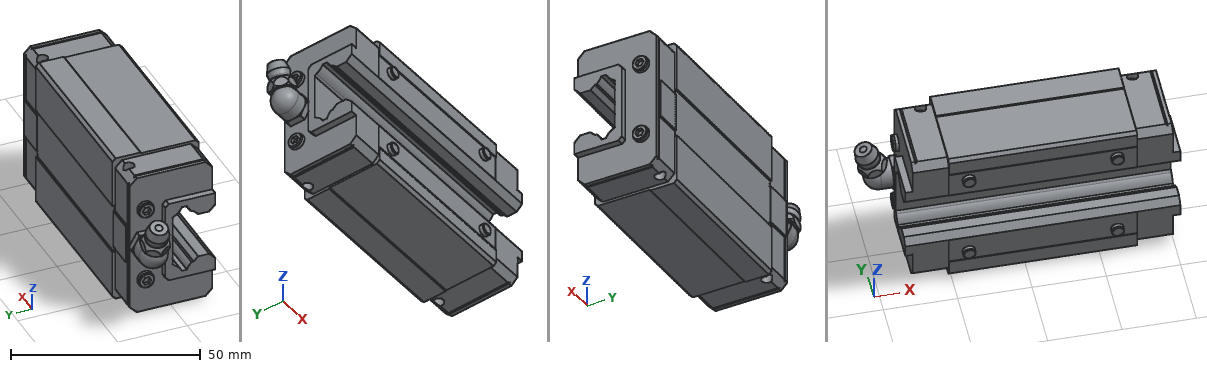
import cadquery as cq
import math


block_length = 50.7
cap_span = 70.05
seal_span = 74.1

block_width = 44.0
block_front = -24.8
block_chamfer = 0.9
side_step_depth = 0.25
side_step_start = -8.0
back_relief_width = 14.55
back_relief_depth = 0.5
front_recess_width = 32.8
front_recess_face = -24.6

cap_width = 42.0
cap_back = -0.75
cap_front = -24.5
cap_chamfer = 2.0
pad_width = 11.2
pad_back = -0.25
groove_inset = 1.1
groove_width = 0.5
groove_depth = 0.3
side_hole_dia = 3.0
side_hole_depth = 2.5
side_hole_x = 28.5
side_hole_y = -3.35

seal_back = -10.1
seal_width = 23.9
seal_chamfer = 1.0

opening_floor = -12.2
throat_half_width = 6.6
lip_chamfer = 1.8
opening_floor_half_width = 7.3
inner_flank_start = (-12.8, 7.8)
inner_flank_middle = (-14.0, 8.6)
crest_half_width = 9.95
crest_start = -14.9
crest_end = -16.3
outer_flank_middle = (-16.9, 8.8)
outer_flank_end = (-17.6, 7.95)
lip_back_start = (-18.2, 7.9)
lip_back_end = -19.6

button_dia = 3.4
button_top_dia = 3.0
button_height = 1.4
button_bevel = 0.3
button_x = 20.0
button_z = 13.5
screw_dia = 4.5
screw_top_dia = 4.1
screw_height = 1.4
screw_bevel = 0.5
screw_y = -5.1
screw_z = 10.95
socket_flats = 2.1
socket_depth = 1.0

nipple_y = screw_y
elbow_dia = 8.0
elbow_x = -40.3
base_hex_flats = 8.0
base_hex_length = 1.9
base_hex_bevel = 0.3
head_tilt = 21.2
head_hex_flats = 7.0
head_hex_bottom = 3.0
head_hex_top = 6.2
head_hex_top_dia = 6.0
head_hex_crown = (3.7, 5.3)
head_hex_rim_dia = 8.1
head_hex_bevel = 0.7
head_hex_shoulder = 3.85
neck_dia = 5.8
neck_top = 6.85
head_underside = (3.0, 7.7)
head_dia = 6.4
head_widest = 8.4
tip_dia = 4.9
tip_top = 11.0
ball_dia = 2.0
ball_rise = 0.25

hex_corner_ratio = 2 / math.sqrt(3)


def beveled_disc(base_dia, top_dia, height, bevel, base, direction):
    """A short cylinder that narrows over its last stretch."""
    base = cq.Vector(*base)
    direction = cq.Vector(*direction)
    straight = height - bevel
    body = cq.Solid.makeCylinder(base_dia / 2, straight, base, direction)
    rim = cq.Solid.makeCone(base_dia / 2, top_dia / 2, bevel, base + direction * straight, direction)
    return cq.Workplane(body.fuse(rim))


def along_x(outline, length):
    """Extrude a YZ outline to both sides of X = 0."""
    return outline.extrude(length / 2, both=True)


def mirrored_outline(points):
    """Close a chain of (Y, Z) points with its mirror image in Z = 0."""
    mirrored = [(y, -z) for y, z in reversed(points)]
    return cq.Workplane("YZ").polyline(points + mirrored).close()


def make_block():
    half = block_width / 2
    stepped_half = half - side_step_depth
    recess_half = front_recess_width / 2
    relief_half = back_relief_width / 2
    outline = mirrored_outline([
        (-back_relief_depth, relief_half),
        (0, relief_half),
        (0, half - block_chamfer),
        (-block_chamfer, half),
        (side_step_start, half),
        (side_step_start - side_step_depth, stepped_half),
        (block_front + block_chamfer, stepped_half),
        (block_front, stepped_half - block_chamfer),
        (block_front, recess_half),
        (front_recess_face, recess_half),
    ])
    return along_x(outline, block_length)


def make_cap_bar():
    """Both end caps as one bar running through the block."""
    half = cap_width / 2
    outline = mirrored_outline([
        (cap_back, half - cap_chamfer),
        (cap_back - cap_chamfer, half),
        (cap_front + cap_chamfer, half),
        (cap_front, half - cap_chamfer),
    ])
    bar = along_x(outline, cap_span)
    pad_span = cap_span - 2 * (groove_inset + groove_width)
    pad_bottom = cap_back - groove_depth
    pad_length = (pad_span - block_length) / 2
    pad = cq.Workplane("XY").box(pad_length, pad_back - pad_bottom, pad_width)
    for end in (-1, 1):
        pad_x = end * (pad_span + block_length) / 4
        bar = bar.cut(make_cap_groove(end))
        bar = bar.union(pad.translate((pad_x, (pad_back + pad_bottom) / 2, 0)))
    return bar


def make_cap_groove(end):
    """V-grooves in the sides and the back of one cap, steep on the end side."""
    outer_x = end * (cap_span / 2 - groove_inset)
    inner_x = outer_x - end * groove_width
    half = cap_width / 2
    back_outline = [(outer_x, cap_back), (outer_x, cap_back - groove_depth), (inner_x, cap_back)]
    grooves = cq.Workplane("XY").polyline(back_outline).close().extrude(half, both=True)
    for side in (-1, 1):
        face = side * half
        side_outline = [(outer_x, face), (outer_x, face - side * groove_depth), (inner_x, face)]
        grooves = grooves.union(cq.Workplane("XZ").polyline(side_outline).close().extrude(-cap_front))
    return grooves


def make_seal_bar():
    """Both end seals as one bar with chamfered back corners."""
    depth = seal_back - cap_front
    bar = cq.Workplane("XY").box(seal_span, depth, seal_width)
    bar = bar.edges("|X and >Y").chamfer(seal_chamfer)
    return bar.translate((0, seal_back - depth / 2, 0))


def make_rail_opening():
    """Rail clearance with a ball groove on each side."""
    lip_start = cap_front + lip_chamfer
    lip_end_z = throat_half_width + lip_chamfer
    outline = (
        cq.Workplane("YZ")
        .moveTo(opening_floor, 0)
        .lineTo(opening_floor, opening_floor_half_width)
        .lineTo(*inner_flank_start)
        .threePointArc(inner_flank_middle, (crest_start, crest_half_width))
        .lineTo(crest_end, crest_half_width)
        .threePointArc(outer_flank_middle, outer_flank_end)
        .lineTo(*lip_back_start)
        .lineTo(lip_back_end, throat_half_width)
        .lineTo(lip_start, throat_half_width)
        .lineTo(cap_front, lip_end_z)
        .lineTo(block_front, lip_end_z)
        .lineTo(block_front, 0)
        .close()
    )
    half = along_x(outline, seal_span)
    return half.union(half.mirror("XY"))


def make_button(x, z):
    """Round button on the front face of the block."""
    base = (x, front_recess_face, z)
    return beveled_disc(button_dia, button_top_dia, button_height, button_bevel, base, (0, -1, 0))


def make_screw_head(end, z):
    """Hex-socket screw head on the end face of a cap."""
    base = (end * cap_span / 2, screw_y, z)
    return beveled_disc(screw_dia, screw_top_dia, screw_height, screw_bevel, base, (end, 0, 0))


def make_screw_socket(end, z):
    face_x = end * (cap_span / 2 + screw_height)
    socket = cq.Workplane("YZ").polygon(6, socket_flats * hex_corner_ratio).extrude(-end * socket_depth)
    return socket.translate((face_x, screw_y, z))


def make_side_hole(x, side):
    """Blind hole in the side of a cap."""
    face = cq.Vector(x, side_hole_y, side * cap_width / 2)
    hole = cq.Solid.makeCylinder(side_hole_dia / 2, side_hole_depth, face, cq.Vector(0, 0, -side))
    return cq.Workplane(hole)


def make_carriage():
    block_gap = cq.Workplane("XY").box(block_length, 2 * block_width, 2 * block_width)
    body = make_block().union(make_cap_bar().cut(block_gap))
    body = body.union(make_seal_bar()).cut(make_rail_opening())
    for end in (-1, 1):
        for side in (-1, 1):
            body = body.union(make_button(end * button_x, side * button_z))
            body = body.union(make_screw_head(end, side * screw_z))
            body = body.cut(make_screw_socket(end, side * screw_z))
            body = body.cut(make_side_hole(end * side_hole_x, side))
    return body


def make_nipple_base():
    """Hexagon, round shank and ball elbow along -X, ending at the elbow."""
    cap_face = -cap_span / 2
    corner_dia = base_hex_flats * hex_corner_ratio
    bevel_dia = corner_dia - 2 * base_hex_bevel
    hexagon = cq.Workplane("YZ").polygon(6, corner_dia).extrude(-base_hex_length)
    envelope = beveled_disc(corner_dia, bevel_dia, base_hex_length, base_hex_bevel, (0, 0, 0), (-1, 0, 0))
    hexagon = hexagon.intersect(envelope).translate((cap_face, 0, 0))
    elbow_radius = elbow_dia / 2
    shank_and_ball = (
        cq.Workplane("XY")
        .moveTo(cap_face, 0)
        .lineTo(cap_face, elbow_radius)
        .lineTo(elbow_x, elbow_radius)
        .radiusArc((elbow_x - elbow_radius, 0), -elbow_radius)
        .close()
        .revolve(360, (0, 0, 0), (1, 0, 0))
    )
    return hexagon.union(shank_and_ball).translate((0, nipple_y, 0))


def make_head_hexagon():
    """Upright hexagon with a bevelled bottom and a rounded crown."""
    flat_radius = head_hex_flats / 2
    rim_radius = head_hex_rim_dia / 2
    envelope = (
        cq.Workplane("XZ")
        .moveTo(0, head_hex_bottom)
        .lineTo(flat_radius, head_hex_bottom)
        .lineTo(rim_radius, head_hex_bottom + head_hex_bevel)
        .lineTo(rim_radius, head_hex_shoulder)
        .threePointArc(head_hex_crown, (head_hex_top_dia / 2, head_hex_top))
        .lineTo(0, head_hex_top)
        .close()
        .revolve(360, (0, 0, 0), (0, 1, 0))
    )
    prism = cq.Workplane("XY", origin=(0, 0, head_hex_bottom)).polygon(6, head_hex_flats * hex_corner_ratio)
    return prism.extrude(head_hex_top - head_hex_bottom).intersect(envelope)


def make_coupling():
    """Upright turned coupling with a neck, a tapered head and a slightly raised ball in the tip."""
    neck_radius = neck_dia / 2
    ball_radius = ball_dia / 2
    dome_radius = (ball_radius**2 + ball_rise**2) / (2 * ball_rise)
    return (
        cq.Workplane("XZ")
        .moveTo(0, 0)
        .lineTo(ball_radius, 0)
        .lineTo(neck_radius, head_hex_bottom)
        .lineTo(neck_radius, neck_top)
        .threePointArc(head_underside, (head_dia / 2, head_widest))
        .lineTo(tip_dia / 2, tip_top)
        .lineTo(ball_radius, tip_top)
        .radiusArc((0, tip_top + ball_rise), -dome_radius)
        .close()
        .revolve(360, (0, 0, 0), (0, 1, 0))
    )


def make_nipple_head():
    """Hexagon and coupling, tilted toward -X about the elbow."""
    head = make_head_hexagon().union(make_coupling())
    return head.rotate((0, 0, 0), (0, 1, 0), -head_tilt).translate((elbow_x, nipple_y, 0))


carriage = make_carriage().solids()
nipple = make_nipple_base().union(make_nipple_head()).solids()
result = cq.Compound.makeCompound([carriage.val(), nipple.val()])